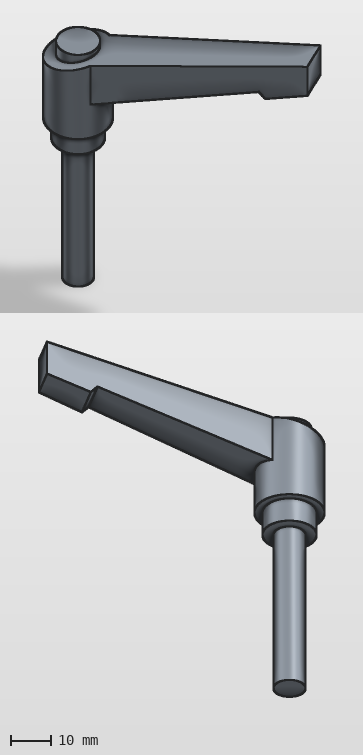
import cadquery as cq
import math


stud_diameter = 8.0
stud_length = 45.0
collar_diameter = 13.5
collar_height = 6.5
cap_diameter = 11.0
cap_top_z = 31.0

hub_diameter = 17.5
lever_reach = 63.0
lever_top_z = 45.0
top_slope = 15.0
root_width = 13.0
tip_width = 9.0
tip_height = 9.4

underside_slope = 20.0
root_bottom_z = 17.2
step_inner_x = 50.2
step_outer_x = 51.9

hub_radius = hub_diameter / 2
root_x = math.sqrt(hub_radius**2 - (root_width / 2) ** 2)


def rise(length, slope):
    """Height gained over a horizontal length at a slope in degrees."""
    return length * math.tan(math.radians(slope))


def top_z(x):
    """Height of the sloping top face shared by the hub and the lever."""
    return lever_top_z - rise(lever_reach - x, top_slope)


def cylinder(diameter, bottom_z, upper_z):
    """Cylinder on the stud axis between two heights."""
    return cq.Workplane("XY").workplane(offset=bottom_z).circle(diameter / 2).extrude(upper_z - bottom_z)


def side_prism(points):
    """Prism with an XZ outline, as wide as the hub and centred on the stud axis."""
    return cq.Workplane("XZ").polyline(points).close().extrude(hub_radius, both=True)


def make_hub():
    """Round hub cut off by the sloping top plane."""
    envelope = side_prism(
        [
            (-hub_radius, collar_height),
            (hub_radius, collar_height),
            (hub_radius, top_z(hub_radius)),
            (-hub_radius, top_z(-hub_radius)),
        ]
    )
    return cylinder(hub_diameter, collar_height, lever_top_z).intersect(envelope)


def make_lever():
    """Arm with a stepped underside that narrows towards the tip."""
    tip_bottom_z = lever_top_z - tip_height
    profile = side_prism(
        [
            (0, top_z(0)),
            (lever_reach, lever_top_z),
            (lever_reach, tip_bottom_z),
            (step_outer_x, tip_bottom_z - rise(lever_reach - step_outer_x, underside_slope)),
            (step_inner_x, root_bottom_z + rise(step_inner_x - root_x, underside_slope)),
            (root_x, root_bottom_z),
            (0, root_bottom_z),
        ]
    )
    plan_points = [
        (0, -root_width / 2),
        (root_x, -root_width / 2),
        (lever_reach, -tip_width / 2),
        (lever_reach, tip_width / 2),
        (root_x, root_width / 2),
        (0, root_width / 2),
    ]
    plan = cq.Workplane("XY").polyline(plan_points).close().extrude(lever_top_z)
    return profile.intersect(plan)


stud = cylinder(stud_diameter, -stud_length, collar_height)
collar = cylinder(collar_diameter, 0, collar_height)
cap = cylinder(cap_diameter, collar_height, cap_top_z)

result = make_hub().union(make_lever()).union(collar).union(stud).union(cap)